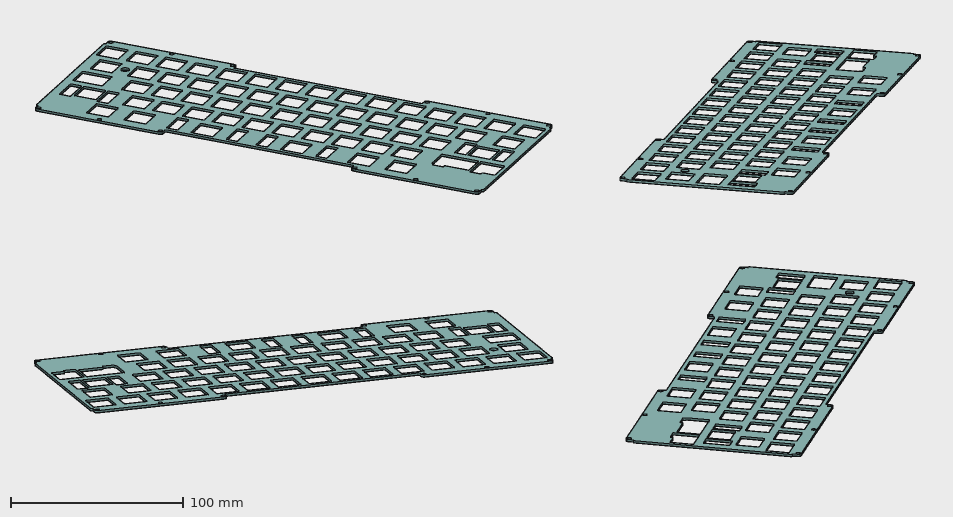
import cadquery as cq


plate_length = 285.8
plate_thickness = 1.5
total_depth = 104.5
keys_across = 15
rows = 5
pitch = plate_length / keys_across
body_depth = rows * pitch

screw_diameter = 2.5
screw_edge_distance = 1.85
screw_spacing = 39.0
screws_per_tab = 3
tab_end_inset = 1.1
tab_corner_radius = 1.7
tab_root_radius = 1.0
body_corner_radius = 1.1
tab_length = (screws_per_tab - 1) * screw_spacing + 2 * screw_edge_distance
tab_centre_x = plate_length / 2 - tab_end_inset - tab_length / 2
screw_y = total_depth / 2 - screw_edge_distance

switch_size = 14.0
opening_corner_radius = 0.43
slot_width = 7.1
slot_near_reach = switch_size / 2
slot_far_reach = 9.0
slot_offset = 12.0
slot_offset_space = pitch

access_diameter = 5.0
access_x = -116.5
access_y = 19.5

row_keys = {
    2: [0.5 + i for i in range(15)],
    1: [0.75] + [2 + i for i in range(12)] + [14.25],
    0: [0.625, 0.875] + [2.25 + i for i in range(11)] + [13.875],
    -1: [1.125] + [2.75 + i for i in range(10)] + [13.125, 13.625, 14.5],
    -2: [2, 3.25, 5.5, 8.5, 10.75, 12],
}

stabilized_keys = [
    (0, 13.875, slot_offset, 1),
    (-1, 1.125, slot_offset, -1),
    (-1, 13.625, slot_offset, -1),
    (-2, 5.5, slot_offset_space, 1),
    (-2, 8.5, slot_offset_space, 1),
]


def key_x(units):
    """X of a point given in key units from the plate's left side."""
    return units * pitch - plate_length / 2


def make_blank():
    """Plate body with four screw tabs, rounded at their corners and roots."""
    blank = cq.Workplane("XY").box(plate_length, body_depth, plate_thickness)
    blank = blank.edges("|Z").fillet(body_corner_radius)
    for side in (-1, 1):
        tab = cq.Workplane("XY").center(side * tab_centre_x, 0)
        tab = tab.box(tab_length, total_depth, plate_thickness)
        blank = blank.union(tab.edges("|Z").fillet(tab_corner_radius))
    for side in (-1, 1):
        for end in (-1, 1):
            root = (side * (tab_centre_x - tab_length / 2), end * body_depth / 2, 0)
            blank = blank.edges(cq.selectors.NearestToPointSelector(root)).fillet(tab_root_radius)
    return blank


def screw_points():
    """Screw hole centres, evenly spaced along each tab edge."""
    points = []
    for side in (-1, 1):
        for end in (-1, 1):
            for i in range(screws_per_tab):
                x = side * tab_centre_x + (i - (screws_per_tab - 1) / 2) * screw_spacing
                points.append((x, end * screw_y))
    return points


def switch_points():
    """Centres of all switch openings."""
    return [(key_x(units), row * pitch) for row, keys in row_keys.items() for units in keys]


def slot_points():
    """Slot centres, one on each side of every stabilized key."""
    shift = (slot_far_reach - slot_near_reach) / 2
    points = []
    for row, units, offset, far_side in stabilized_keys:
        for side in (-1, 1):
            points.append((key_x(units) + side * offset, row * pitch + far_side * shift))
    return points


openings = cq.Sketch()
openings = openings.push(switch_points()).rect(switch_size, switch_size).reset()
openings = openings.push(slot_points()).rect(slot_width, slot_near_reach + slot_far_reach).reset().clean()
opening_cutter = cq.Workplane("XY").placeSketch(openings).extrude(plate_thickness, both=True)
opening_cutter = opening_cutter.edges("|Z").fillet(opening_corner_radius)

holes = cq.Sketch()
holes = holes.push(screw_points()).circle(screw_diameter / 2).reset()
holes = holes.push([(access_x, access_y)]).circle(access_diameter / 2).reset()
hole_cutter = cq.Workplane("XY").placeSketch(holes).extrude(plate_thickness, both=True)

result = make_blank().cut(opening_cutter).cut(hole_cutter)